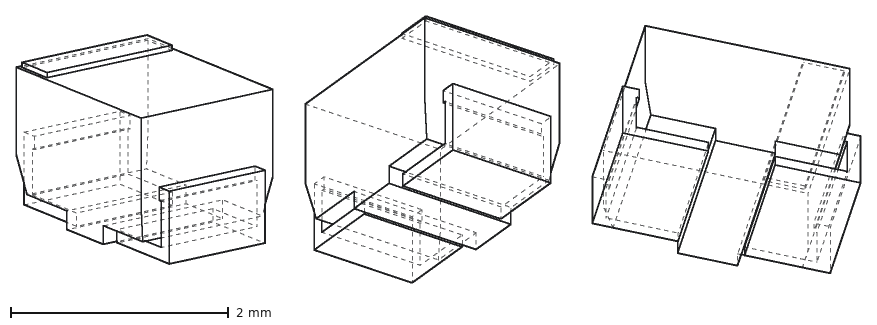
import cadquery as cq

OVERALL_LENGTH = 2.26

HOUSING_LENGTH = 1.944
HOUSING_WIDTH = 1.5
STANDOFF_HEIGHT = 0.18
STANDOFF_LENGTH = 0.57
TAPER_HEIGHT = 0.382
TAPER_INSET = 0.072
BLOCK_HEIGHT = 0.838
TAPER_TOP = STANDOFF_HEIGHT + TAPER_HEIGHT
HOUSING_TOP = TAPER_TOP + BLOCK_HEIGHT
BASE_LENGTH = HOUSING_LENGTH - 2 * TAPER_INSET
BASE_WIDTH = HOUSING_WIDTH - 2 * TAPER_INSET

MARKER_LENGTH = 0.39
MARKER_HEIGHT = 0.05
MARKER_MARGIN = 0.038
MARKER_WIDTH = HOUSING_WIDTH - 2 * MARKER_MARGIN

LEAD_WIDTH = 1.09
LEAD_THICKNESS = 0.129
LEAD_HEIGHT = 0.7
LEAD_FOOT_LENGTH = 0.814


def make_housing():
    """Block with a tapered underside and a standoff, as one solid."""
    taper = (
        cq.Workplane("XY", origin=(0, 0, STANDOFF_HEIGHT))
        .rect(BASE_LENGTH, BASE_WIDTH)
        .workplane(offset=TAPER_HEIGHT)
        .rect(HOUSING_LENGTH, HOUSING_WIDTH)
        .loft(ruled=True)
    )
    block = (
        cq.Workplane("XY", origin=(0, 0, TAPER_TOP))
        .rect(HOUSING_LENGTH, HOUSING_WIDTH)
        .extrude(BLOCK_HEIGHT)
    )
    standoff = cq.Workplane("XY").rect(STANDOFF_LENGTH, BASE_WIDTH).extrude(STANDOFF_HEIGHT)
    return taper.union(block).union(standoff)


def make_marker():
    """Thin plate resting on the housing top."""
    center_x = -HOUSING_LENGTH / 2 + MARKER_MARGIN + MARKER_LENGTH / 2
    return (
        cq.Workplane("XY", origin=(center_x, 0, HOUSING_TOP))
        .rect(MARKER_LENGTH, MARKER_WIDTH)
        .extrude(MARKER_HEIGHT)
    )


def make_lead(side):
    """C-shaped lead whose upper tab ends on the housing wall; side is -1 or 1 along X."""
    outer_x = side * OVERALL_LENGTH / 2
    inner_x = outer_x - side * LEAD_THICKNESS
    foot_end_x = outer_x - side * LEAD_FOOT_LENGTH
    wall_x = side * HOUSING_LENGTH / 2
    tab_bottom = LEAD_HEIGHT - LEAD_THICKNESS
    outline = [
        (outer_x, 0),
        (outer_x, LEAD_HEIGHT),
        (wall_x, LEAD_HEIGHT),
        (wall_x, tab_bottom),
        (inner_x, tab_bottom),
        (inner_x, LEAD_THICKNESS),
        (foot_end_x, LEAD_THICKNESS),
        (foot_end_x, 0),
    ]
    return cq.Workplane("XZ").polyline(outline).close().extrude(LEAD_WIDTH / 2, both=True)


housing = make_housing()
marker = make_marker()
leads = [make_lead(side) for side in (-1, 1)]

result = cq.Compound.makeCompound([housing.val(), marker.val(), *[lead.val() for lead in leads]])